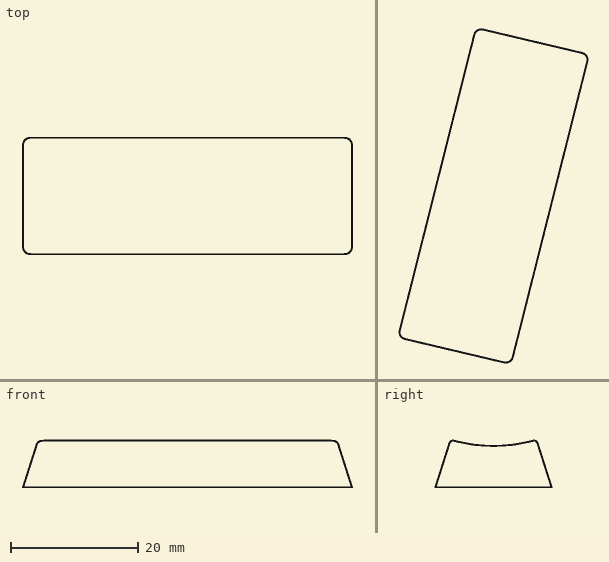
import cadquery as cq

LENGTH = 51.65
WIDTH = 18.3

DRAFT_ANGLE = 17.7
CORNER_RADIUS = 1.25

DISH_FLOOR = 6.5
DISH_RADIUS = 23.0
RIM_RADIUS = 0.6

BLANK_HEIGHT = 10.35


def tapered_blank():
    """Rectangular block with drafted walls and rounded corner edges."""
    block = cq.Workplane("XY").rect(LENGTH, WIDTH).extrude(BLANK_HEIGHT, taper=DRAFT_ANGLE)
    slanted_edges = "not(#Z or |X or |Y)"
    return block.edges(slanted_edges).fillet(CORNER_RADIUS)


def dish_cutter():
    """Cylinder that hollows the top, lowest along the X centreline."""
    return (
        cq.Workplane("YZ")
        .center(0, DISH_FLOOR + DISH_RADIUS)
        .circle(DISH_RADIUS)
        .extrude(LENGTH / 2, both=True)
    )


keycap = tapered_blank().cut(dish_cutter())

result = keycap.faces(">Z").edges().fillet(RIM_RADIUS)